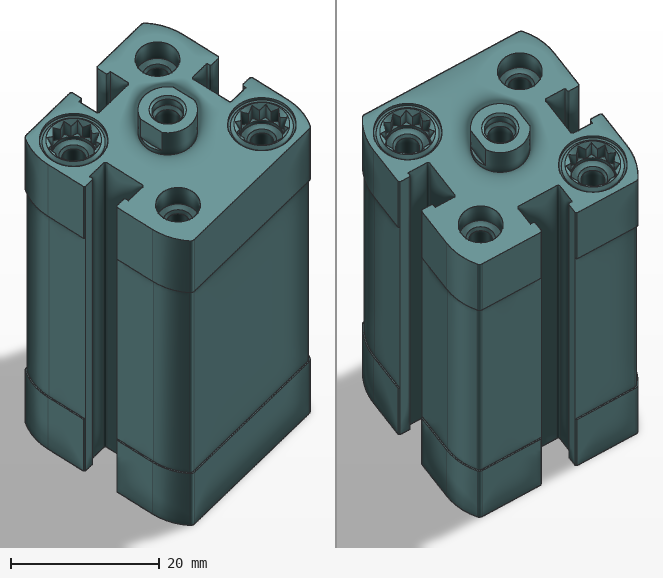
import cadquery as cq
import math


cap_width = 29.0
total_height = 65.1
body_height = 60.4
cap_height = 11.0
tube_inset = 0.2
tube_width = cap_width - 2 * tube_inset
tube_height = body_height - 2 * cap_height

hole_offset = 9.0
cap_corner_radius = 9.2
tube_corner_radius = cap_corner_radius - tube_inset
corner_edge_fillet = 0.7

slot_mouth = 5.4
slot_width = 6.7
slot_depth = 5.2
slot_lip = 1.9
slot_lip_fillet = 0.25
slot_floor_fillet = 0.3
mouth_chamfer = 0.2
slot_angles = (-90, 90, 180)

counterbore_diameter = 6.0
counterbore_depth = 3.5
thread_core_diameter = 3.24
thread_chamfer_diameter = 4.0
socket_corners = ((-1, -1), (1, 1))
hole_corners = socket_corners + ((-1, 1), (1, -1))

socket_points = 12
socket_depth = 2.9
socket_tip_radius = 3.6
socket_ridge_radius = counterbore_diameter / 2
head_rim_diameter = 7.5
head_diameter = 8.5
head_groove_diameter = 9.2

rod_diameter = 8.0
rod_across_flats = 7.1
flat_bottom_clear = 0.7
flat_end_diameter = 15.88
rod_engagement = cap_height
rod_bore_diameter = 4.3
rod_bore_depth = 1.6
rod_mouth_diameter = 5.0
rod_core_diameter = 3.4
rod_core_depth = 10.0
drill_point_angle = 118.0


def cone_depth(large_diameter, small_diameter):
    """Depth of a 45-degree cone between two diameters."""
    return (large_diameter - small_diameter) / 2


def outline_block(width, corner_radius, edge_fillet, height, base):
    """Square block whose +-Y faces run into round corners that end at filleted edges on the +-X faces."""
    half = width / 2
    centre_y = half - corner_radius
    arc_end_y = centre_y + math.sqrt(corner_radius**2 - (half - hole_offset) ** 2)
    mid_angle = (math.pi / 2 + math.atan2(arc_end_y - centre_y, half - hole_offset)) / 2
    mid_x = hole_offset + corner_radius * math.cos(mid_angle)
    mid_y = centre_y + corner_radius * math.sin(mid_angle)
    return (
        cq.Workplane("XY", origin=(0, 0, base))
        .moveTo(-hole_offset, half)
        .lineTo(hole_offset, half)
        .threePointArc((mid_x, mid_y), (half, arc_end_y))
        .lineTo(half, -arc_end_y)
        .threePointArc((mid_x, -mid_y), (hole_offset, -half))
        .lineTo(-hole_offset, -half)
        .threePointArc((-mid_x, -mid_y), (-half, -arc_end_y))
        .lineTo(-half, arc_end_y)
        .threePointArc((-mid_x, mid_y), (-hole_offset, half))
        .close()
        .extrude(height)
        .edges("|Z and (<X or >X)")
        .fillet(edge_fillet)
    )


def slot_cutter():
    """T-slot cutter opening on the +X face."""
    face = cap_width / 2
    floor = face - slot_depth
    chamber_depth = slot_depth - slot_lip
    chamber = (
        cq.Workplane("XY")
        .box(chamber_depth, slot_width, body_height, centered=(False, True, False))
        .edges("|Z and <X")
        .fillet(slot_floor_fillet)
    )
    mouth = cq.Workplane("XY").box(slot_depth, slot_mouth, body_height, centered=(False, True, False))
    cutter = chamber.union(mouth).translate((floor, 0, 0))
    lip_x = face - slot_lip
    margin = slot_lip_fillet
    lip_half = slot_mouth / 2 + margin
    lip_box = cq.selectors.BoxSelector(
        (lip_x - margin, -lip_half, -margin), (lip_x + margin, lip_half, body_height + margin)
    )
    return cutter.edges("|Z").edges(lip_box).fillet(slot_lip_fillet)


def mouth_chamfer_cutter(base):
    """Wedge that breaks both outer edges of a slot mouth on the +X face of one cap."""
    face = cap_width / 2
    inner = slot_mouth / 2
    outer = inner + mouth_chamfer
    start = face - mouth_chamfer
    return (
        cq.Workplane("XY", origin=(0, 0, base))
        .polyline([(start, -inner), (face, -outer), (face, outer), (start, inner)])
        .close()
        .extrude(cap_height)
    )


def threaded_hole():
    """Core hole through the body, chamfered at the floor of the counterbore above it."""
    core_radius = thread_core_diameter / 2
    chamfer_radius = thread_chamfer_diameter / 2
    floor = body_height - counterbore_depth
    chamfer_end = floor - cone_depth(thread_chamfer_diameter, thread_core_diameter)
    return (
        cq.Workplane("XZ")
        .polyline([(0, 0), (core_radius, 0), (core_radius, chamfer_end), (chamfer_radius, floor), (0, floor)])
        .close()
        .revolve(360, (0, 0), (0, 1))
    )


def counterbore():
    floor = body_height - counterbore_depth
    return (
        cq.Workplane("XY", origin=(0, 0, floor))
        .circle(counterbore_diameter / 2)
        .extrude(counterbore_depth)
    )


def screw_socket():
    """Star socket with a conical lead-in, and the groove between the screw head and its seat."""
    points = []
    for index in range(2 * socket_points):
        radius = socket_ridge_radius if index % 2 else socket_tip_radius
        angle = math.pi * index / socket_points
        points.append((radius * math.cos(angle), radius * math.sin(angle)))
    star_base = body_height - socket_depth
    star = cq.Workplane("XY", origin=(0, 0, star_base)).polyline(points).close().extrude(socket_depth)

    rim_radius = head_rim_diameter / 2
    lead_in_depth = rim_radius - socket_ridge_radius
    lead_in = (
        cq.Workplane("XZ")
        .polyline(
            [
                (0, body_height),
                (rim_radius, body_height),
                (socket_ridge_radius, body_height - lead_in_depth),
                (0, body_height - lead_in_depth),
            ]
        )
        .close()
        .revolve(360, (0, 0), (0, 1))
    )

    groove_floor = body_height - cone_depth(head_diameter, head_rim_diameter)
    groove = (
        cq.Workplane("XZ")
        .polyline(
            [
                (rim_radius, body_height),
                (head_diameter / 2, groove_floor),
                (head_groove_diameter / 2, groove_floor),
                (head_groove_diameter / 2, body_height),
            ]
        )
        .close()
        .revolve(360, (0, 0), (0, 1))
    )
    return star, lead_in, groove


def make_housing():
    lower_cap = outline_block(cap_width, cap_corner_radius, corner_edge_fillet, cap_height, 0)
    tube = outline_block(tube_width, tube_corner_radius, corner_edge_fillet, tube_height, cap_height)
    upper_base = body_height - cap_height
    upper_cap = outline_block(cap_width, cap_corner_radius, corner_edge_fillet, cap_height, upper_base)
    housing = lower_cap.union(tube).union(upper_cap)

    for angle in slot_angles:
        for cutter in (slot_cutter(), mouth_chamfer_cutter(0), mouth_chamfer_cutter(upper_base)):
            housing = housing.cut(cutter.rotate((0, 0, 0), (0, 0, 1), angle))

    for side_x, side_y in hole_corners:
        place = (side_x * hole_offset, side_y * hole_offset, 0)
        housing = housing.cut(threaded_hole().translate(place))
        housing = housing.cut(counterbore().translate(place))

    for side_x, side_y in socket_corners:
        place = (side_x * hole_offset, side_y * hole_offset, 0)
        for cutter in screw_socket():
            housing = housing.cut(cutter.translate(place))

    rod_seat = (
        cq.Workplane("XY", origin=(0, 0, body_height - rod_engagement))
        .circle(rod_diameter / 2)
        .extrude(rod_engagement)
    )
    return housing.cut(rod_seat)


def make_rod():
    base = body_height - rod_engagement
    rod = cq.Workplane("XY", origin=(0, 0, base)).circle(rod_diameter / 2).extrude(total_height - base)

    end_radius = flat_end_diameter / 2
    flat_base = body_height + flat_bottom_clear
    flat_cutter = (
        cq.Workplane("XZ", origin=(0, 0, flat_base + end_radius))
        .circle(end_radius)
        .extrude(rod_diameter / 2, both=True)
    )
    cutter_offset = (rod_across_flats + rod_diameter) / 2
    for side in (-1, 1):
        rod = rod.cut(flat_cutter.translate((0, side * cutter_offset, 0)))

    mouth_radius = rod_mouth_diameter / 2
    bore_radius = rod_bore_diameter / 2
    core_radius = rod_core_diameter / 2
    mouth_end = total_height - cone_depth(rod_mouth_diameter, rod_bore_diameter)
    bore_end = total_height - rod_bore_depth
    core_start = bore_end - cone_depth(rod_bore_diameter, rod_core_diameter)
    core_end = total_height - rod_core_depth
    drill_tip = core_end - core_radius / math.tan(math.radians(drill_point_angle / 2))
    bore = (
        cq.Workplane("XZ")
        .moveTo(0, total_height)
        .lineTo(mouth_radius, total_height)
        .lineTo(bore_radius, mouth_end)
        .lineTo(bore_radius, bore_end)
        .lineTo(core_radius, core_start)
        .lineTo(core_radius, core_end)
        .lineTo(0, drill_tip)
        .close()
        .revolve(360, (0, 0), (0, 1))
    )
    return rod.cut(bore)


housing = make_housing()
rod = make_rod()
result = cq.Compound.makeCompound([housing.val(), rod.val()])